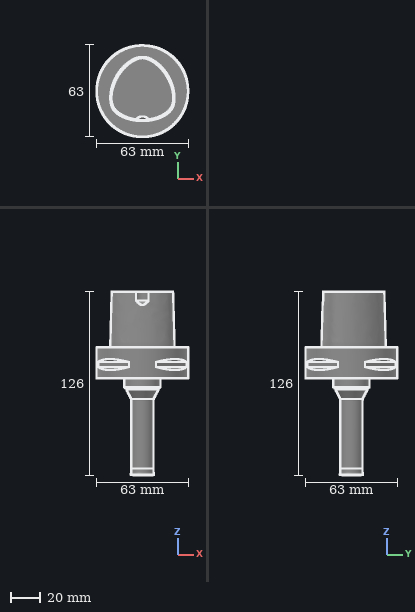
import cadquery as cq
import math

total_height = 126.0

taper_width = 44.1
taper_top_width = 42.2
lobe_offset = 1.5
taper_start = 91.1

flange_diameter = 63.0
flange_bottom = 66.4
flange_top = 88.1
flange_chamfer = 0.32

groove_count = 4
groove_first_angle = 45.0
groove_height = 76.1
groove_floor_width = 3.3
groove_mouth_width = 7.5
groove_floor_distance = 27.8

notch_radius = 5.3
notch_axis_distance = 22.5
notch_shoulder = 119.8
notch_cone_height = 6.2

collar_diameter = 25.0
collar_bottom = 60.6
shoulder_diameter = 22.0
shoulder_top = 59.5
shoulder_bottom = 58.8
neck_diameter = 15.6
neck_bottom = 52.7
stem_diameter = 15.4
stem_top = 51.0

head_top = 4.8
flare_start = 2.0
flare_start_diameter = 15.5
cutting_diameter = 16.1
cutting_height = 0.9
dome_diameter = 15.6
dome_height = 0.4


def lobed_profile(width, height):
    """Closed three-lobed wire with one lobe pointing towards +Y."""
    def point(turn):
        normal = 2 * math.pi * turn
        reach = width / 2 + lobe_offset * math.sin(3 * normal + math.pi)
        slide = 3 * lobe_offset * math.cos(3 * normal + math.pi)
        return (
            reach * math.cos(normal) - slide * math.sin(normal),
            reach * math.sin(normal) + slide * math.cos(normal),
        )
    curve_points = 48
    points = [cq.Vector(*point(i / curve_points), height) for i in range(curve_points)]
    return cq.Wire.assembleEdges([cq.Edge.makeSpline(points, periodic=True)])


def make_taper():
    """Straight lobed band on the flange, then the tapered lobed shank."""
    band_bottom = lobed_profile(taper_width, flange_top)
    band_top = lobed_profile(taper_width, taper_start)
    shank_top = lobed_profile(taper_top_width, total_height)
    band = cq.Solid.makeLoft([band_bottom, band_top], True)
    shank = cq.Solid.makeLoft([band_top, shank_top], True)
    return cq.Workplane(band).union(cq.Workplane(shank))


def make_notch_cutter():
    """Vertical round cutter with a conical point, set at the edge of the taper."""
    return (
        cq.Workplane("XZ")
        .moveTo(0, total_height)
        .lineTo(notch_radius, total_height)
        .lineTo(notch_radius, notch_shoulder)
        .lineTo(0, notch_shoulder - notch_cone_height)
        .close()
        .revolve(360, (0, 0), (0, 1))
        .translate((0, -notch_axis_distance, 0))
    )


def make_groove_cutter(angle):
    """Straight trapezoidal groove across the flange rim, widening outwards."""
    rim = flange_diameter / 2
    flare_slope = (groove_mouth_width - groove_floor_width) / 2 / (rim - groove_floor_distance)
    outer_distance = rim + 1.3
    half_floor = groove_floor_width / 2
    half_outer = half_floor + flare_slope * (outer_distance - groove_floor_distance)
    return (
        cq.Workplane("XZ")
        .moveTo(groove_floor_distance, groove_height - half_floor)
        .lineTo(outer_distance, groove_height - half_outer)
        .lineTo(outer_distance, groove_height + half_outer)
        .lineTo(groove_floor_distance, groove_height + half_floor)
        .close()
        .extrude(rim, both=True)
        .rotate((0, 0, 0), (0, 0, 1), angle)
    )


def make_flange():
    """Round flange with chamfered rims and gripper grooves."""
    flange = (
        cq.Workplane("XY", origin=(0, 0, flange_bottom))
        .circle(flange_diameter / 2)
        .extrude(flange_top - flange_bottom)
        .edges()
        .chamfer(flange_chamfer)
    )
    for i in range(groove_count):
        flange = flange.cut(make_groove_cutter(groove_first_angle + i * 360 / groove_count))
    return flange


def make_stem():
    """Collar, conical neck and slender stem, turned about the tool axis."""
    return (
        cq.Workplane("XZ")
        .moveTo(0, flange_bottom)
        .lineTo(collar_diameter / 2, flange_bottom)
        .lineTo(collar_diameter / 2, collar_bottom)
        .lineTo(shoulder_diameter / 2, shoulder_top)
        .lineTo(shoulder_diameter / 2, shoulder_bottom)
        .lineTo(neck_diameter / 2, neck_bottom)
        .lineTo(stem_diameter / 2, stem_top)
        .lineTo(stem_diameter / 2, head_top)
        .lineTo(0, head_top)
        .close()
        .revolve(360, (0, 0), (0, 1))
    )


def make_holder():
    taper = make_taper().cut(make_notch_cutter())
    return make_flange().union(taper).union(make_stem())


def make_cutting_head():
    """Flared tip with a shallow domed end face."""
    dome_radius = dome_diameter / 2
    sphere_radius = (dome_radius**2 + dome_height**2) / (2 * dome_height)
    mid_x = dome_radius / 2
    mid_z = sphere_radius - math.sqrt(sphere_radius**2 - mid_x**2)
    return (
        cq.Workplane("XZ")
        .moveTo(0, head_top)
        .lineTo(stem_diameter / 2, head_top)
        .lineTo(flare_start_diameter / 2, flare_start)
        .lineTo(cutting_diameter / 2, cutting_height)
        .lineTo(dome_radius, dome_height)
        .threePointArc((mid_x, mid_z), (0, 0))
        .close()
        .revolve(360, (0, 0), (0, 1))
    )


holder = make_holder()
cutting_head = make_cutting_head()

result = cq.Compound.makeCompound([holder.val(), cutting_head.val()])